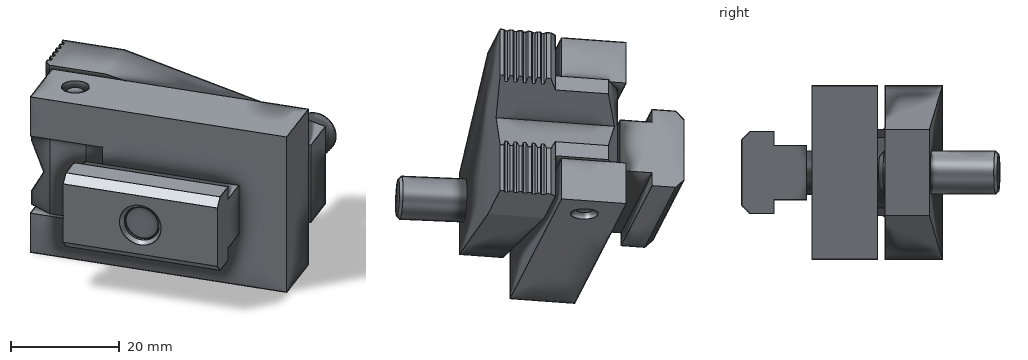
import cadquery as cq
import math


LENGTH = 52.0
HEIGHT = 32.0
GAP = 1.35
PIVOT_X = 8.5
PIVOT_Y = -5.5
SCREW_X = 28.0

BASE_FRONT_X = 2.05
BASE_THICKNESS = 12.1
SLOT_WIDTH = 15.85
SLOT_END_X = 16.1

JAW_THICKNESS = 10.55
JAW_FLAT_LENGTH = 11.95
JAW_REAR_DROP = 2.4
JAW_REAR_WIDTH = 15.85
JAW_EDGE_CHAMFER = 1.05

GROOVE_COUNT = 5
GROOVE_PITCH = 1.7
GROOVE_FIRST = 1.25
GROOVE_DEPTH = 0.55
GROOVE_MOUTH = 1.15
GROOVE_FLOOR = 0.45

TONGUE_FRONT_X = JAW_EDGE_CHAMFER
TONGUE_END_X = 15.05
TONGUE_BOTTOM_Y = -11.15
TONGUE_BEVEL_LENGTH = 4.4
TONGUE_BEVEL_ANGLE = 30.0
TONGUE_END_CHAMFER = 2.55
TONGUE_ROOT_RADIUS = 0.5

NOTCH_DEPTH = 4.0
NOTCH_FLANK_ANGLE = 60.0

STUD_DIAMETER = 7.95
STUD_LENGTH = 21.9
STUD_TILT = 4.5
STUD_FOOT_X = 44.3
STUD_FOOT_Y = 0.4
STUD_FOOT_CHAMFER = 0.9
STUD_TOP_CHAMFER = 0.55

PIN_DIAMETER = 5.05
PIN_RECESS = 1.7
PIN_DOME_HEIGHT = 1.25

NUT_LENGTH = 30.05
NUT_TOP_Y = -13.1
NUT_NECK_HEIGHT = 6.0
NUT_HEAD_HEIGHT = 6.0
NUT_NECK_WIDTH = 10.05
NUT_HEAD_WIDTH = 15.15
NUT_CHAMFER = 1.55
NUT_BORE = 6.7
NUT_BORE_MOUTH = 8.1

HEAD_DIAMETER = 13.0
HEAD_HEIGHT = 8.0
SHANK_DIAMETER = 8.0
SCREW_END_RECESS = 1.05
SCREW_END_CHAMFER = 0.2

BASE_BOTTOM_Y = -BASE_THICKNESS
JAW_UNDER_Y = GAP
JAW_BACK_Y = JAW_UNDER_Y + JAW_THICKNESS
HEAD_SEAT_Y = JAW_UNDER_Y - HEAD_HEIGHT
NUT_STEP_Y = NUT_TOP_Y - NUT_NECK_HEIGHT
NUT_BOTTOM_Y = NUT_STEP_Y - NUT_HEAD_HEIGHT


def bar(points, width):
    """Prism with an XY outline, centred on Z = 0."""
    return cq.Workplane("XY").polyline(points).close().extrude(width / 2, both=True)


def box(x_min, x_max, y_min, y_max, width):
    """Box centred on Z = 0."""
    return bar([(x_min, y_min), (x_max, y_min), (x_max, y_max), (x_min, y_max)], width)


def rod(x, y_low, y_high, diameter):
    """Round rod along Y, centred on Z = 0."""
    start = cq.Vector(x, y_low, 0)
    solid = cq.Solid.makeCylinder(diameter / 2, y_high - y_low, start, cq.Vector(0, 1, 0))
    return cq.Workplane(solid)


def make_pin():
    """Round pin along Z with a domed end on each side."""
    radius = PIN_DIAMETER / 2
    rim_z = HEIGHT / 2 - PIN_RECESS
    tip_z = rim_z + PIN_DOME_HEIGHT
    dome_radius = (radius**2 + PIN_DOME_HEIGHT**2) / (2 * PIN_DOME_HEIGHT)
    half_angle = math.asin(radius / dome_radius) / 2
    mid_r = dome_radius * math.sin(half_angle)
    mid_z = tip_z - dome_radius * (1 - math.cos(half_angle))
    return (
        cq.Workplane("XZ")
        .moveTo(0, -tip_z)
        .threePointArc((mid_r, -mid_z), (radius, -rim_z))
        .lineTo(radius, rim_z)
        .threePointArc((mid_r, mid_z), (0, tip_z))
        .close()
        .revolve(360, (0, 0, 0), (0, 1, 0))
        .translate((PIVOT_X, PIVOT_Y, 0))
    )


def make_pin_hole():
    """Through hole for the pin, along Z."""
    return cq.Workplane("XY").center(PIVOT_X, PIVOT_Y).circle(PIN_DIAMETER / 2).extrude(HEIGHT, both=True)


def make_screw():
    """Screw along Y: head, shank and a thinner threaded end."""
    end_y = NUT_BOTTOM_Y + SCREW_END_RECESS
    thread = rod(SCREW_X, end_y, NUT_TOP_Y, NUT_BORE).faces("<Y").chamfer(SCREW_END_CHAMFER)
    shank = rod(SCREW_X, NUT_TOP_Y, HEAD_SEAT_Y, SHANK_DIAMETER)
    head = rod(SCREW_X, HEAD_SEAT_Y, JAW_UNDER_Y, HEAD_DIAMETER)
    return head.union(shank).union(thread)


def make_base(screw):
    """Rectangular block, forked at the front and bored to fit the pin and the stepped screw."""
    block = box(BASE_FRONT_X, LENGTH, BASE_BOTTOM_Y, 0, HEIGHT)
    slot = box(BASE_FRONT_X, SLOT_END_X, BASE_BOTTOM_Y, 0, SLOT_WIDTH)
    return block.cut(slot).cut(make_pin_hole()).cut(screw)


def make_tongue():
    """Tongue of the jaw that fills the slot of the base."""
    bevel_drop = TONGUE_BEVEL_LENGTH * math.tan(math.radians(TONGUE_BEVEL_ANGLE))
    outline = [
        (TONGUE_FRONT_X, JAW_UNDER_Y),
        (TONGUE_FRONT_X, TONGUE_BOTTOM_Y + bevel_drop),
        (TONGUE_FRONT_X + TONGUE_BEVEL_LENGTH, TONGUE_BOTTOM_Y),
        (TONGUE_END_X, TONGUE_BOTTOM_Y),
        (TONGUE_END_X, JAW_UNDER_Y),
    ]
    tongue = bar(outline, SLOT_WIDTH)
    return tongue.edges("|Z and >X and <Y").chamfer(TONGUE_END_CHAMFER)


def make_jaw_block():
    """Block of the jaw, tapered towards the rear in thickness and width, with a bevelled front lower edge."""
    profile = bar(
        [
            (0, JAW_BACK_Y),
            (JAW_FLAT_LENGTH, JAW_BACK_Y),
            (LENGTH, JAW_BACK_Y - JAW_REAR_DROP),
            (LENGTH, JAW_UNDER_Y),
            (JAW_EDGE_CHAMFER, JAW_UNDER_Y),
            (0, JAW_UNDER_Y + JAW_EDGE_CHAMFER),
        ],
        HEIGHT,
    )
    plan = (
        cq.Workplane("XZ")
        .polyline(
            [
                (0, -HEIGHT / 2),
                (JAW_FLAT_LENGTH, -HEIGHT / 2),
                (LENGTH, -JAW_REAR_WIDTH / 2),
                (LENGTH, JAW_REAR_WIDTH / 2),
                (JAW_FLAT_LENGTH, HEIGHT / 2),
                (0, HEIGHT / 2),
            ]
        )
        .close()
        .extrude(LENGTH, both=True)
    )
    return profile.intersect(plan)


def make_root_fillet():
    """Concave fillet around the sides and rear of the tongue, where it leaves the jaw block."""
    radius = TONGUE_ROOT_RADIUS
    low_y = JAW_UNDER_Y - radius
    rear_x = TONGUE_END_X + radius
    side_z = SLOT_WIDTH / 2 + radius
    band = box(TONGUE_FRONT_X, rear_x, low_y, JAW_UNDER_Y, 2 * side_z)
    rear_hollow = cq.Workplane("XY").center(rear_x, low_y).circle(radius).extrude(side_z, both=True)
    side_hollows = (
        cq.Workplane("YZ")
        .pushPoints([(low_y, -side_z), (low_y, side_z)])
        .circle(radius)
        .extrude(LENGTH)
    )
    return band.cut(rear_hollow).cut(side_hollows)


def make_notch():
    """V-shaped cutter that runs along Y through the nose of the jaw."""
    half_mouth = NOTCH_DEPTH * math.tan(math.radians(NOTCH_FLANK_ANGLE))
    return (
        cq.Workplane("XZ")
        .polyline([(0, -half_mouth), (NOTCH_DEPTH, 0), (0, half_mouth)])
        .close()
        .extrude(LENGTH, both=True)
    )


def make_groove(y):
    """Trapezoidal cutter for one groove along Z in the front face of the jaw."""
    return bar(
        [
            (0, y - GROOVE_MOUTH / 2),
            (GROOVE_DEPTH, y - GROOVE_FLOOR / 2),
            (GROOVE_DEPTH, y + GROOVE_FLOOR / 2),
            (0, y + GROOVE_MOUTH / 2),
        ],
        HEIGHT,
    )


def make_stud():
    """Round stud through the rear of the jaw, leaning towards +X, bevelled at both ends."""
    return (
        rod(0, 0, STUD_LENGTH, STUD_DIAMETER)
        .faces("<Y")
        .chamfer(STUD_FOOT_CHAMFER)
        .faces(">Y")
        .chamfer(STUD_TOP_CHAMFER)
        .rotate((0, 0, 0), (0, 0, 1), -STUD_TILT)
        .translate((STUD_FOOT_X, STUD_FOOT_Y, 0))
    )


def make_jaw():
    """Clamping jaw: block, tongue, toothed and notched nose, and the fixed stud."""
    jaw = make_jaw_block().union(make_tongue()).union(make_root_fillet())
    jaw = jaw.cut(make_notch())
    for index in range(GROOVE_COUNT):
        jaw = jaw.cut(make_groove(JAW_BACK_Y - GROOVE_FIRST - index * GROOVE_PITCH))
    return jaw.cut(make_pin_hole()).union(make_stud())


def make_t_nut():
    """T-nut with bevelled head edges and a bore that is countersunk below."""
    x_min = SCREW_X - NUT_LENGTH / 2
    x_max = SCREW_X + NUT_LENGTH / 2
    neck = box(x_min, x_max, NUT_STEP_Y, NUT_TOP_Y, NUT_NECK_WIDTH)
    head = box(x_min, x_max, NUT_BOTTOM_Y, NUT_STEP_Y, NUT_HEAD_WIDTH)
    head = head.faces("<Y").edges("|X").chamfer(NUT_CHAMFER)
    bore = rod(SCREW_X, NUT_BOTTOM_Y, NUT_TOP_Y, NUT_BORE)
    nut = neck.union(head).cut(bore)
    bore_rim = nut.faces("<Y").edges("%CIRCLE")
    return bore_rim.chamfer((NUT_BORE_MOUTH - NUT_BORE) / 2)


pin = make_pin()
screw = make_screw()
base = make_base(screw)
jaw = make_jaw()
t_nut = make_t_nut()

result = cq.Compound.makeCompound([base.val(), jaw.val(), t_nut.val(), screw.val(), pin.val()])